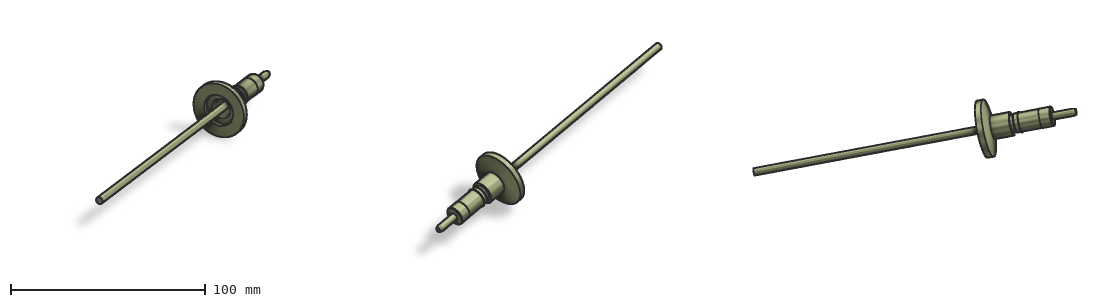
import cadquery as cq
import math

total_length = 171.5
rear_length = 49.9
rear_tip_y = total_length / 2
flange_face_y = rear_tip_y - rear_length

pin_diameter = 4.0
tip_chamfer_length = 1.7
tip_chamfer_width = 0.5

flange_diameter = 30.0
flange_rim_width = 3.3
flange_taper_angle = 15.0
hub_diameter = 12.5
hub_end = 15.6
recess_diameter = 17.3
recess_depth = 2.5
bore_diameter = 11.0

neck_diameter = 9.3
neck_length = 1.7
sleeve_diameter = 10.1
sleeve_end = 37.4
cap_diameter = 10.3
cap_length = 6.2
collar_length = 2.7
ridge_diameter = 11.0
ridge_width = 0.2
edge_chamfer_length = 0.5
edge_chamfer_width = 0.2
inner_bore_diameter = 8.0
inner_bore_end = 31.2


def cylinder(diameter, start, end):
    """Solid cylinder on the part axis between two distances from the flange face."""
    workplane = cq.Workplane("XZ", origin=(0, flange_face_y + start, 0))
    return workplane.circle(diameter / 2).extrude(start - end)


def make_flange():
    """Disc whose back tapers down to a straight hub."""
    rim_radius = flange_diameter / 2
    hub_radius = hub_diameter / 2
    taper_rise = (rim_radius - hub_radius) * math.tan(math.radians(flange_taper_angle))
    taper_end = flange_rim_width + taper_rise
    profile = (
        cq.Workplane("XY", origin=(0, flange_face_y, 0))
        .lineTo(rim_radius, 0)
        .lineTo(rim_radius, flange_rim_width)
        .lineTo(hub_radius, taper_end)
        .lineTo(hub_radius, hub_end)
        .lineTo(0, hub_end)
        .close()
    )
    return profile.revolve(360, (0, 0, 0), (0, 1, 0))


def make_sleeve():
    """Neck, ridged collar, main barrel and slightly wider end cap."""
    collar_start = hub_end + neck_length
    ridge_start = collar_start + collar_length
    cap_start = sleeve_end - cap_length
    barrel = cylinder(sleeve_diameter, collar_start, cap_start)
    barrel = barrel.faces("<Y").chamfer(edge_chamfer_length, edge_chamfer_width)
    cap = cylinder(cap_diameter, cap_start, sleeve_end)
    cap = cap.faces(">Y").chamfer(edge_chamfer_length, edge_chamfer_width)
    return (
        cylinder(neck_diameter, hub_end, collar_start)
        .union(barrel)
        .union(cylinder(ridge_diameter, ridge_start, ridge_start + ridge_width))
        .union(cap)
    )


def make_pin():
    """Full-length rod with a long chamfer on its rear tip."""
    pin = cylinder(pin_diameter, rear_length - total_length, rear_length)
    return pin.faces(">Y").chamfer(tip_chamfer_length, tip_chamfer_width)


body = make_flange().union(make_sleeve())
body = body.cut(cylinder(recess_diameter, 0, recess_depth))
body = body.cut(cylinder(bore_diameter, 0, hub_end - neck_length))
body = body.cut(cylinder(inner_bore_diameter, 0, inner_bore_end))
result = body.union(make_pin())